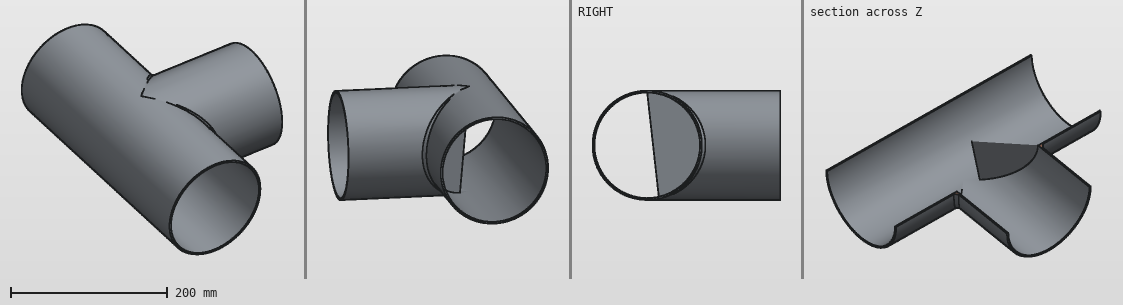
import cadquery as cq
import math

run_length = 340.0
outer_diameter = 139.7
bore_diameter = 134.5
branch_reach = run_length / 2
weld_leg = 4.5

plate_thickness = 0.5
plate_edge_top = 0.0
plate_edge_bottom = 15.0

outer_radius = outer_diameter / 2
bore_radius = bore_diameter / 2


def tee(diameter):
    """Solid tee made of two crossing cylinders."""
    radius = diameter / 2
    run = cq.Workplane("YZ").circle(radius).extrude(run_length / 2, both=True)
    branch = cq.Workplane("XZ").circle(radius).extrude(-branch_reach)
    return run.union(branch)


def weld_bead(side):
    """Flat bead in one corner between run and branch, tapering to nothing at the crown.

    Its face belongs to an elliptic cylinder that runs square to the mitre plane.
    side is +1 for the +X corner and -1 for the -X corner.
    """
    reach = math.sqrt(2) * outer_radius + weld_leg / math.sqrt(2)
    corner_size = outer_diameter
    half_span = 2 * outer_diameter
    plane = cq.Plane(origin=(0, 0, 0), xDir=(side, 1, 0), normal=(1, -side, 0))
    bead = (
        cq.Workplane(plane)
        .workplane(offset=-half_span)
        .ellipse(reach, outer_radius)
        .extrude(2 * half_span)
    )
    corner = cq.Workplane("XY").box(corner_size, corner_size, outer_diameter)
    return bead.intersect(corner.translate((side * corner_size / 2, corner_size / 2, 0)))


def diverter_plate():
    """Half-ellipse plate across the bore with a slightly slanted free edge."""
    mid_wall_diameter = (outer_diameter + bore_diameter) / 2
    top = plate_edge_top * math.sqrt(2)
    bottom = plate_edge_bottom * math.sqrt(2)
    far = outer_diameter
    plane = cq.Plane(origin=(0, 0, 0), xDir=(-1, 1, 0), normal=(1, 1, 0))
    blank = (
        cq.Workplane(plane)
        .moveTo(top, bore_radius)
        .lineTo(far, bore_radius)
        .lineTo(far, -bore_radius)
        .lineTo(bottom, -bore_radius)
        .close()
        .extrude(plate_thickness / 2, both=True)
    )
    return blank.intersect(tee(mid_wall_diameter))


body = tee(outer_diameter).union(weld_bead(1)).union(weld_bead(-1))
result = body.cut(tee(bore_diameter)).union(diverter_plate())